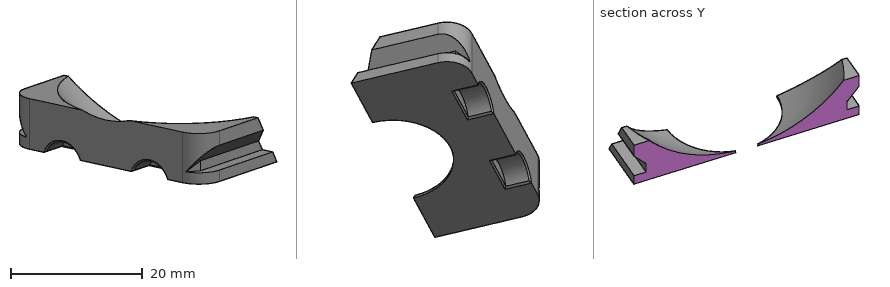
import cadquery as cq
import math

LENGTH = 37.8
DEPTH = 18.05
HEIGHT = 8.0
CORNER_RADIUS = 4.0
REAR_LEAN = 30.0

SPHERE_RADIUS = 23.05
RIM_RADIUS = 18.65
THROAT_RADIUS = 9.22

LEDGE_HEIGHT = 1.8
GROOVE_TOP = 5.75
GROOVE_REACH = 3.35
GROOVE_DEPTH = 2.0
GROOVE_END_INSET = 1.95

NOTCH_SPACING = 17.0
NOTCH_RADIUS = 3.5
NOTCH_DROP = 1.3
NOTCH_DEPTH = 4.0
NOTCH_CHAMFER = 0.25
SELECT_MARGIN = 0.38


def leaning_block():
    """Block with two rounded front corners and a forward-leaning rear face."""
    lean = HEIGHT * math.tan(math.radians(REAR_LEAN))
    side = [(-DEPTH, 0), (0, 0), (-lean, HEIGHT), (-DEPTH, HEIGHT)]
    body = cq.Workplane("YZ").polyline(side).close().extrude(LENGTH / 2, both=True)
    return body.edges("|Z and <Y").fillet(CORNER_RADIUS)


def cut_notch(body, x):
    """Cut one arched notch and chamfer its edges on the front and bottom faces."""
    arch_plane = cq.Workplane("XZ", origin=(x, -DEPTH, -NOTCH_DROP))
    arch = arch_plane.circle(NOTCH_RADIUS).extrude(-NOTCH_DEPTH)
    body = body.cut(arch)
    near_notch = cq.selectors.BoxSelector(
        (x - NOTCH_RADIUS, -DEPTH - SELECT_MARGIN, -SELECT_MARGIN),
        (x + NOTCH_RADIUS, -DEPTH + NOTCH_DEPTH + SELECT_MARGIN, NOTCH_RADIUS),
    )
    arch_edge = body.faces("<Y").edges("%CIRCLE").edges(near_notch)
    bottom_edges = body.faces("<Z").edges(near_notch)
    return arch_edge.add(bottom_edges).chamfer(NOTCH_CHAMFER)


def bore():
    """Sphere that meets the top face at the rim radius, plus the vertical throat."""
    centre_height = HEIGHT + math.sqrt(SPHERE_RADIUS**2 - RIM_RADIUS**2)
    sphere = cq.Workplane("XY").sphere(SPHERE_RADIUS).translate((0, 0, centre_height))
    throat = cq.Workplane("XY").circle(THROAT_RADIUS).extrude(HEIGHT)
    return sphere.union(throat)


def groove():
    """Undercut on the +X end: a sloped wedge, limited inward by the groove wall."""
    end = LENGTH / 2
    wall = end - GROOVE_DEPTH
    reach = end - GROOVE_REACH
    section = [(end, LEDGE_HEIGHT), (reach, LEDGE_HEIGHT), (end, GROOVE_TOP)]
    wedge = cq.Workplane("XZ").polyline(section).close().extrude(DEPTH)
    plan = [(end, 0), (wall, 0), (wall, GROOVE_END_INSET - DEPTH), (reach, -DEPTH), (end, -DEPTH)]
    limit = cq.Workplane("XY").polyline(plan).close().extrude(HEIGHT)
    return wedge.intersect(limit)


result = leaning_block()
for notch_x in (-NOTCH_SPACING / 2, NOTCH_SPACING / 2):
    result = cut_notch(result, notch_x)
result = result.cut(bore())
result = result.cut(groove()).cut(groove().mirror("YZ"))